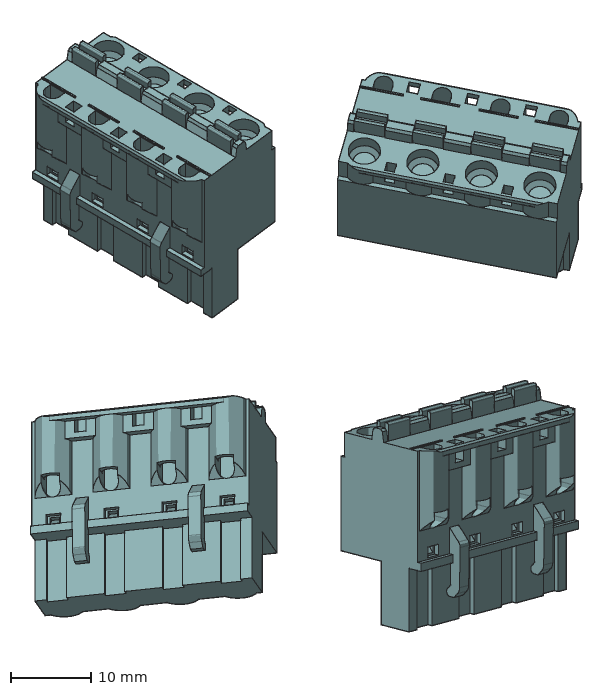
import cadquery as cq
import math

width = 28.1
poles = 4
pitch = 7.5
body_depth = 13.35
body_bottom = 8.23
body_top = 23.7
edge_chamfer = 0.25
overlap = 0.28

pole_x = [(i - (poles - 1) / 2) * pitch for i in range(poles)]
gap_x = [(i - (poles - 2) / 2) * pitch for i in range(poles - 1)]

funnel_radius = 2.5
funnel_front = 15.1
funnel_center = funnel_front - funnel_radius
funnel_bottom = 13.25
bar_height = 0.85
bar_length = pole_x[-1] - pole_x[0]

wire_radius = 1.18
wire_back = 12.35
wire_center = 13.3
window_axis = 14.4
window_top = 15.7

block_width = 4.02
block_front = 14.33
block_bottom = 20.48
front_pocket_width = 1.43
front_pocket_back = 12.8
pocket_bottom = 21.25
back_pocket_size = 1.25

back_step = 0.6

screw_top_diameter = 4.0
screw_floor_diameter = 2.8
screw_depth = 1.71
screw_center = 2.85

ridge_back = 5.37
ridge_front = 7.45
ridge_top = 25.32
ridge_draft = 0.22
ridge_bevel = 0.3
ridge_shoulder = ridge_top - ridge_bevel
lever_width = 3.88
lever_clearance = 0.08
lever_back = 5.45
lever_top = 26.0
lever_wall = 0.55
lever_channel_floor = 24.87
lever_rounding = 0.25

rib_length = 5.0
rib_back = 12.05
rib_width = 0.22
rib_height = 0.15

ledge_front = 13.97
ledge_height = 1.07
sight_width = 1.85
sight_bottom = 9.53
sight_height = 1.38
sight_depth = 0.62
sight_inner_width = 1.25
sight_inner_bottom = 9.8
sight_inner_height = 0.87
hook_width = 1.63
hook_front = 15.2
hook_shoulder = 10.45
hook_shoulder_radius = 0.95
hook_lower_front = 15.1
hook_bend = 5.23
hook_bend_radius = 1.15
hook_inner = 13.52
hook_inner_bend = 5.28
hook_tip_radius = 0.6
hook_tip_center = 13.43
hook_tip_height = 4.35

plug_back = 7.0
plug_front = 11.85
plug_rib_back = 5.95
plug_groove_width = 2.65
plug_groove_depth = 0.67


def block(x, size_x, back, front, bottom, top):
    """Box centred on x, between two distances from the back face and two heights."""
    return cq.Workplane("XY").box(size_x, front - back, top - bottom, centered=(True, False, False)).translate(
        (x, -front, bottom)
    )


def post(x, depth, radius, bottom, top):
    """Upright cylinder at a distance from the back face."""
    return cq.Workplane("XY", origin=(x, -depth, bottom)).circle(radius).extrude(top - bottom)


def side_outline(x, size_x):
    """Workplane for a (Y, Z) outline that is extruded over size_x around x."""
    return cq.Workplane("YZ", origin=(x - size_x / 2, 0, 0))


def make_body():
    body = block(0, width, 0, body_depth, body_bottom, body_top)
    step = block(0, width, 0, back_step, block_bottom, body_top)
    for x in pole_x:
        step = step.cut(post(x, funnel_radius, funnel_radius, block_bottom, body_top))
    step = step.cut(block(0, bar_length, 0, back_step, body_top - bar_height, body_top))
    body = body.cut(step)
    ledge = block(0, width, plug_front, ledge_front, body_bottom, body_bottom + ledge_height)
    return body.union(ledge)


def make_funnels():
    bar = block(0, bar_length, funnel_center, funnel_front, body_top - bar_height, body_top)
    funnels = bar
    for x in pole_x:
        funnels = funnels.union(post(x, funnel_center, funnel_radius, funnel_bottom, body_top))
    for x in gap_x:
        funnels = funnels.union(block(x, block_width, funnel_center, block_front, block_bottom, body_top))
    reach = funnel_front - body_depth + overlap
    underside = (
        side_outline(0, width)
        .moveTo(-body_depth, funnel_bottom)
        .line(-reach, reach)
        .line(0, -reach)
        .close()
        .extrude(width)
    )
    return funnels.cut(underside)


def bevel_long_edge(depth, direction):
    """Wedge that bevels the top edge at the given depth; direction is +1 at the back, -1 at the front."""
    return (
        side_outline(0, width)
        .moveTo(-depth - direction * edge_chamfer, body_top)
        .line(direction * edge_chamfer, 0)
        .line(0, -edge_chamfer)
        .close()
        .extrude(width)
    )


def make_wire_hole(x):
    shaft = post(x, wire_center, wire_radius, window_axis, body_top + overlap)
    shaft = shaft.union(block(x, 2 * wire_radius, wire_back, wire_center, window_axis, body_top + overlap))
    shaft = shaft.intersect(
        block(x, 2 * wire_radius, wire_back, funnel_front, window_axis, body_top + overlap)
    )
    window = block(x, 2 * wire_radius, wire_back, funnel_front + overlap, window_axis, window_top)
    window_floor = (
        cq.Workplane("XZ", origin=(x, -wire_back, window_axis))
        .circle(wire_radius)
        .extrude(funnel_front + overlap - wire_back)
    )
    return shaft.union(window).union(window_floor)


def make_screw_hole(x):
    top_radius = screw_top_diameter / 2
    floor_radius = screw_floor_diameter / 2
    return (
        cq.Workplane("XZ", origin=(x, -screw_center, body_top))
        .lineTo(top_radius, 0)
        .lineTo(top_radius, -screw_depth)
        .lineTo(floor_radius, floor_radius - top_radius - screw_depth)
        .lineTo(0, floor_radius - top_radius - screw_depth)
        .close()
        .revolve()
    )


def make_sight(x):
    outer = block(x, sight_width, body_depth - sight_depth, body_depth + overlap,
                  sight_bottom, sight_bottom + sight_height)
    inner = (
        side_outline(x, sight_inner_width)
        .moveTo(sight_depth - body_depth, sight_inner_bottom)
        .line(sight_inner_height, sight_inner_height)
        .line(-sight_inner_height, 0)
        .close()
        .extrude(sight_inner_width)
    )
    return outer.union(inner)


def make_ridge():
    ridge = (
        side_outline(0, width)
        .moveTo(-ridge_back, body_top - overlap)
        .lineTo(-ridge_back, body_top)
        .lineTo(-ridge_back - ridge_draft, ridge_shoulder)
        .lineTo(-ridge_back - ridge_draft - ridge_bevel, ridge_top)
        .lineTo(-ridge_front + ridge_draft + ridge_bevel, ridge_top)
        .lineTo(-ridge_front + ridge_draft, ridge_shoulder)
        .lineTo(-ridge_front, body_top)
        .lineTo(-ridge_front, body_top - overlap)
        .close()
        .extrude(width)
    )
    for x in pole_x:
        opening = lever_width + 2 * lever_clearance
        ridge = ridge.cut(block(x, opening, 0, body_depth, body_top, lever_top))
    return ridge


def make_lever(x):
    return (
        side_outline(x, lever_width)
        .moveTo(-lever_back, body_top - overlap)
        .lineTo(-lever_back, lever_top)
        .line(lever_rounding - lever_wall, 0)
        .radiusArc((-lever_back - lever_wall, lever_top - lever_rounding), -lever_rounding)
        .lineTo(-lever_back - lever_wall, lever_channel_floor)
        .lineTo(-ridge_front + lever_wall, lever_channel_floor)
        .lineTo(-ridge_front + lever_wall, lever_top)
        .line(lever_rounding - lever_wall, 0)
        .radiusArc((-ridge_front, lever_top - lever_rounding), -lever_rounding)
        .lineTo(-ridge_front, body_top - overlap)
        .close()
        .extrude(lever_width)
    )


def make_rib(x):
    length = rib_length
    if abs(x) == pole_x[-1]:
        length = max(rib_length, 2 * (width / 2 - abs(x)))
    return block(x, length, rib_back, rib_back + rib_width, body_top - overlap, body_top + rib_height)


def make_hook(x):
    turn_rise = math.sin(math.radians(45))
    turn_inset = 1 - math.cos(math.radians(45))
    shoulder_y = hook_shoulder_radius * turn_inset - hook_front
    shoulder_z = hook_shoulder + hook_shoulder_radius * turn_rise
    hook_top = shoulder_z - body_depth - shoulder_y
    bend_y = hook_bend_radius * turn_inset - hook_lower_front
    bend_z = hook_bend - hook_bend_radius * turn_rise
    tip_bottom = hook_tip_height - hook_tip_radius
    tip_end = math.radians(60)
    return (
        side_outline(x, hook_width)
        .moveTo(-body_depth + overlap, hook_top)
        .lineTo(-body_depth, hook_top)
        .lineTo(shoulder_y, shoulder_z)
        .radiusArc((-hook_front, hook_shoulder), -hook_shoulder_radius)
        .lineTo(-hook_lower_front, hook_bend)
        .radiusArc((bend_y, bend_z), -hook_bend_radius)
        .lineTo(bend_y + bend_z - tip_bottom, tip_bottom)
        .lineTo(-hook_tip_center, tip_bottom)
        .threePointArc(
            (-hook_tip_center + hook_tip_radius, hook_tip_height),
            (
                -hook_tip_center + hook_tip_radius * math.cos(tip_end),
                hook_tip_height + hook_tip_radius * math.sin(tip_end),
            ),
        )
        .lineTo(-hook_inner, hook_inner_bend)
        .lineTo(-hook_inner, body_bottom)
        .lineTo(-body_depth + overlap, body_bottom)
        .close()
        .extrude(hook_width)
    )


def make_plug():
    plug = block(0, width, plug_back, plug_front, 0, body_bottom + overlap)
    for x in pole_x:
        plug = plug.union(post(x, plug_rib_back + funnel_radius, funnel_radius, 0, body_bottom + overlap))
        plug = plug.cut(
            block(x, plug_groove_width, plug_front - plug_groove_depth, plug_front, 0, body_bottom)
        )
    return plug


result = make_body().union(make_funnels())
result = result.cut(bevel_long_edge(0, 1)).cut(bevel_long_edge(funnel_front, -1))
result = result.union(make_plug()).union(make_ridge())

for x in pole_x:
    result = result.cut(make_wire_hole(x)).cut(make_screw_hole(x)).cut(make_sight(x))
    result = result.union(make_rib(x)).union(make_lever(x))

for x in gap_x:
    result = result.cut(
        block(x, front_pocket_width, front_pocket_back, block_front, pocket_bottom, body_top)
    )
    back_pocket_end = back_step + back_pocket_size
    result = result.cut(
        block(x, back_pocket_size, back_step, back_pocket_end, pocket_bottom, body_top)
    )

for x in (gap_x[0], gap_x[-1]):
    result = result.union(make_hook(x))